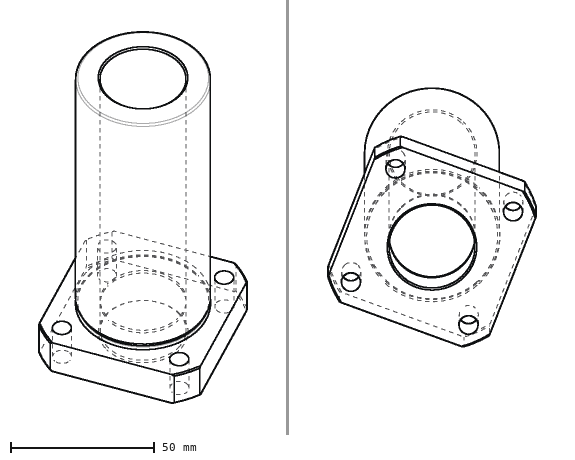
import cadquery as cq
import math

total_height = 122.8
bore_radius = 15.0
bore_chamfer = 0.6

flange_width = 60.0
flange_radius = 37.88
flange_thickness = 13.9
corner_chamfer = 0.5
bolt_count = 4
bolt_circle_radius = 31.0
bolt_hole_diameter = 6.6

collar_height = 1.2
collar_top_radius = 22.8
collar_fillet = 0.7

sleeve_radius = 23.52
sleeve_top_fillet = 0.7
sleeve_base_height = 1.5
sleeve_base_radius = collar_top_radius

collar_bottom = flange_thickness
sleeve_bottom = collar_bottom + collar_height


def turned(profile):
    """Revolve an (r, z) outline around the Z axis."""
    return cq.Workplane("XZ").polyline(profile).close().revolve(360, (0, 0, 0), (0, 1, 0))


def make_flange():
    square = (
        cq.Workplane("XY")
        .rect(flange_width, flange_width)
        .extrude(flange_thickness)
        .rotate((0, 0, 0), (0, 0, 1), 45)
    )
    disc = cq.Workplane("XY").circle(flange_radius).extrude(flange_thickness)
    disc = disc.faces("|Z").edges().chamfer(corner_chamfer)
    bore = turned([
        (0, 0),
        (bore_radius + bore_chamfer, 0),
        (bore_radius, bore_chamfer),
        (bore_radius, flange_thickness),
        (0, flange_thickness),
    ])
    bolt_holes = (
        cq.Workplane("XY")
        .polarArray(bolt_circle_radius, 0, 360, bolt_count)
        .circle(bolt_hole_diameter / 2)
        .extrude(flange_thickness)
    )
    return square.intersect(disc).cut(bore).cut(bolt_holes).solids()


def make_collar():
    fillet_mid = (
        collar_top_radius + collar_fillet * (1 - math.sqrt(0.5)),
        collar_bottom + collar_fillet * (1 - math.sqrt(0.5)),
    )
    profile = (
        cq.Workplane("XZ")
        .moveTo(bore_radius, collar_bottom)
        .lineTo(collar_top_radius + collar_fillet, collar_bottom)
        .threePointArc(fillet_mid, (collar_top_radius, collar_bottom + collar_fillet))
        .lineTo(collar_top_radius, sleeve_bottom)
        .lineTo(bore_radius, sleeve_bottom)
        .close()
    )
    return profile.revolve(360, (0, 0, 0), (0, 1, 0))


def make_sleeve():
    blank = turned([
        (bore_radius, sleeve_bottom),
        (sleeve_base_radius, sleeve_bottom),
        (sleeve_radius, sleeve_bottom + sleeve_base_height),
        (sleeve_radius, total_height),
        (bore_radius, total_height),
    ])
    rounded = blank.edges(cq.selectors.RadiusNthSelector(-1)).edges(">Z").fillet(sleeve_top_fillet)
    return rounded.faces(">Z").edges(cq.selectors.RadiusNthSelector(0)).chamfer(bore_chamfer)


flange = make_flange()
collar = make_collar()
sleeve = make_sleeve()

result = cq.Compound.makeCompound([flange.val(), collar.val(), sleeve.val()])